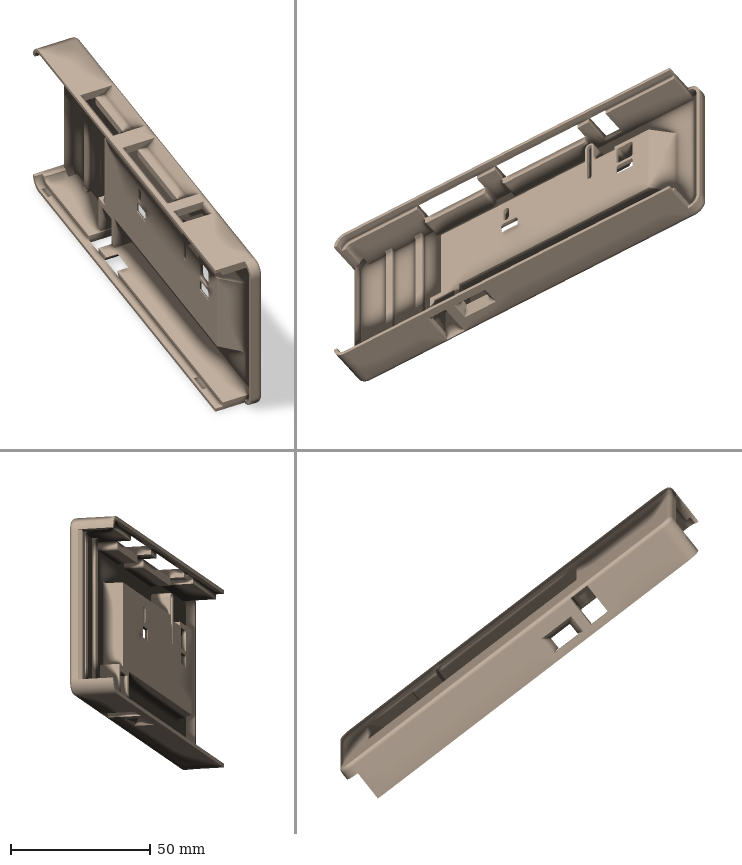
import cadquery as cq
import math

length = 150.8
depth = 16.5
height = 64.8
corner_radius = 5.0
back_fillet = 1.5

floor_thickness = 1.2
rim_width = 1.4
rim_height = 4.7
wall_thickness = 3.2
lip_thickness = 1.4
lip_length = 3.0

floor_y = depth - floor_thickness
rim_y = depth - rim_height
wall_end_x = length - corner_radius
wall_top_z = height - wall_thickness

snap_starts = (3.0, 126.7)
snap_length = 7.1
snap_front_y = 0.8
snap_depth = 0.8

rib_edges = ((13.3, 16.0), (26.0, 29.1))
rib_height = 1.4
rib_gusset = 0.8

platform_left, platform_right = 41.2, 131.3
platform_bottom, platform_top = 16.9, 48.1
platform_height = 7.2
platform_y = floor_y - platform_height
platform_skin = 1.5
foot_radius = 1.0
notch_left, notch_right, notch_bottom = 107.8, 116.4, 46.6

channel_left, channel_right, channel_top = 36.3, 48.9, 17.3
channel_wall_x = 1.8
channel_wall_top = 2.3
channel_inner_left = channel_left + channel_wall_x
channel_inner_right = channel_right - channel_wall_x
channel_gap_inset = 0.6

slot_x = 105.5
slot_width = 2.0
slot_bottom, slot_top = 38.0, 55.6
slot_boss_wall = 0.9
slot_boss_width = slot_width + 2 * slot_boss_wall

mount_left_x, mount_right_x = 70.7, 120.8
mount_width = 7.1
mount_low_bottom, mount_low_top = 33.0, 37.2
mount_high_bottom, mount_high_top = 38.6, 46.3
mount_radius = 1.0
mount_edge_thickness = 0.3
mount_relief_margin = 1.5
key_x = 69.4
key_width = 2.4
key_top = 44.6

wide_openings = ((34.1, 60.2), (67.9, 103.8))
narrow_opening = (108.6, 116.0)
opening_front_y = 1.8
opening_back_y = depth - back_fillet
narrow_back_radius = 1.4
tray_bottom = 58.7
tray_radius = 1.0

window_left, window_right = 52.6, 61.2
window_back_y = 7.5
window_flare = 2.4


def box(x0, x1, y0, y1, z0, z1):
    return cq.Workplane("XY").box(x1 - x0, y1 - y0, z1 - z0, centered=False).translate((x0, y0, z0))


def rounded_slab(inset, y0, y1):
    """Rounded rectangle, inset from the outer outline, between two depths."""
    slab = box(inset, length - inset, y0, y1, inset, height - inset)
    return slab.edges("|Y").fillet(corner_radius - inset)


def side_prism(points, x0, x1):
    """Prism along X with its outline given as (y, z) points."""
    return cq.Workplane("YZ").polyline(points).close().extrude(x1 - x0).translate((x0, 0, 0))


def front_prism(outline, y0, y1):
    """Prism along Y from a closed outline drawn in X and Z."""
    return outline.extrude(-(y1 - y0)).translate((0, y0, 0))


def front_slot(x, z0, z1, width, y0, y1):
    """Vertical round-ended prism along Y."""
    slot = cq.Workplane("XZ").center(x, (z0 + z1) / 2).slot2D(z1 - z0, width, 90)
    return front_prism(slot, y0, y1)


def mirrored_in_z(body):
    return body.mirror("XY", (0, 0, height / 2))


def make_shell():
    shell = rounded_slab(0, 0, depth).faces(">Y").edges().fillet(back_fillet)
    shell = shell.cut(rounded_slab(wall_thickness, 0, rim_y))
    shell = shell.cut(rounded_slab(rim_width, rim_y, floor_y))
    shell = shell.cut(rounded_slab(lip_thickness, 0, lip_length))
    for z in (rim_width, wall_top_z):
        layer_height = wall_thickness - rim_width
        shell = shell.union(box(corner_radius, wall_end_x, rim_y, floor_y, z, z + layer_height))
    shell = shell.cut(box(wall_end_x, length, 0, rim_y, 0, height))
    shell = shell.cut(box(0, corner_radius, 0, rim_y, corner_radius, height - corner_radius))
    crest = cq.Workplane("XY").polyline([(0, rim_y), (rim_width, rim_y), (0, rim_y + rim_width)]).close()
    return shell.cut(crest.extrude(height - 2 * corner_radius).translate((0, 0, corner_radius)))


def make_snap_notch(x0):
    """V-shaped notch in the inner face of the bottom lip."""
    points = [
        (snap_front_y, lip_thickness),
        (lip_length, lip_thickness),
        ((snap_front_y + lip_length) / 2, lip_thickness - snap_depth),
    ]
    return side_prism(points, x0, x0 + snap_length)


def make_rib(x0, x1):
    rib_y = floor_y - rib_height
    rib = box(x0, x1, rib_y, floor_y, wall_thickness, wall_top_z)
    gusset = side_prism(
        [
            (rib_y, wall_thickness),
            (rib_y - rib_gusset, wall_thickness),
            (rib_y, wall_thickness + rib_gusset),
        ],
        x0,
        x1,
    )
    return rib.union(gusset).union(mirrored_in_z(gusset))


def platform_body(inset, y_back):
    """Platform with a 45 degree ramp at its right end; an inset moves every face inward alike."""
    y_front = platform_y + inset
    left = platform_left + inset
    right = platform_right - inset * (math.sqrt(2) - 1)
    outline = cq.Workplane("XY").polyline(
        [
            (left, y_front),
            (right, y_front),
            (right + y_back - y_front, y_back),
            (left, y_back),
        ]
    )
    body = outline.close().extrude(platform_top - platform_bottom - 2 * inset)
    return body.translate((0, 0, platform_bottom + inset))


def make_platform():
    """Platform on a strip of floor, with round feet along its left, top and bottom sides."""
    ramp_foot_x = platform_right + platform_height
    margin = 2 * foot_radius
    base = box(
        platform_left - margin,
        ramp_foot_x + margin,
        floor_y,
        depth,
        platform_bottom - margin,
        platform_top + margin,
    )
    platform = base.union(platform_body(0, floor_y))
    feet = platform.edges(
        cq.selectors.BoxSelector(
            (platform_left - foot_radius, floor_y - foot_radius, platform_bottom - foot_radius),
            (ramp_foot_x - foot_radius, floor_y + foot_radius, platform_top + foot_radius),
        )
    )
    return feet.fillet(foot_radius)


def make_tray(x0, x1):
    """Ledge below a wide opening, with round lower corners and flared upper ones."""
    r = tray_radius
    z0, z1 = tray_bottom, wall_top_z
    outline = (
        cq.Workplane("XZ")
        .moveTo(x0 - r, z1)
        .radiusArc((x0, z1 - r), r)
        .lineTo(x0, z0 + r)
        .radiusArc((x0 + r, z0), -r)
        .lineTo(x1 - r, z0)
        .radiusArc((x1, z0 + r), -r)
        .lineTo(x1, z1 - r)
        .radiusArc((x1 + r, z1), r)
        .close()
    )
    return front_prism(outline, platform_y, floor_y)


def opening_front_outline():
    """Front side of an opening in the top wall: it slopes through the lip, then runs straight down."""
    return (
        cq.Workplane("YZ")
        .moveTo(lip_length, wall_top_z)
        .lineTo(lip_length, height - lip_thickness)
        .lineTo(opening_front_y, height)
        .lineTo(opening_back_y, height)
    )


def make_wide_opening(x0, x1):
    """Opening whose back side is one slope down to the tray."""
    outline = opening_front_outline().lineTo(rim_y, wall_top_z).close()
    return outline.extrude(x1 - x0).translate((x0, 0, 0))


def make_narrow_opening(x0, x1):
    """Opening whose back side is rounded over at the top."""
    r = narrow_back_radius
    outline = (
        opening_front_outline()
        .radiusArc((opening_back_y - r, height - r), -r)
        .lineTo(opening_back_y - r, wall_top_z)
        .close()
    )
    return outline.extrude(x1 - x0).translate((x0, 0, 0))


def make_mount_hole(x, z0, z1, rounded_edges):
    hole = box(x - mount_width / 2, x + mount_width / 2, 0, depth, z0, z1)
    return hole.edges(rounded_edges).fillet(mount_radius)


def make_mount_relief(x):
    """Relief that thins the skin behind the side and bottom edges of a lower mounting hole."""
    half_width = mount_width / 2 + mount_relief_margin
    return box(
        x - half_width,
        x + half_width,
        platform_y + mount_edge_thickness,
        depth,
        mount_low_bottom - mount_relief_margin,
        mount_low_top,
    )


def make_bottom_window():
    """Window that widens downward and backward through the bottom wall."""

    def section(flare):
        return [
            (window_left - flare, lip_length),
            (window_right + flare, lip_length),
            (window_right + flare, window_back_y + flare),
            (window_left - flare, window_back_y + flare),
        ]

    window = cq.Workplane("XY").polyline(section(window_flare)).close()
    return window.workplane(offset=wall_thickness).polyline(section(0)).close().loft(combine=True)


part = make_shell()
for rib_left, rib_right in rib_edges:
    part = part.union(make_rib(rib_left, rib_right))
for opening in wide_openings:
    part = part.union(make_tray(*opening))

part = part.union(make_platform())
part = part.cut(box(notch_left, notch_right, platform_y, floor_y, notch_bottom, platform_top + foot_radius))
part = part.union(box(channel_left, channel_right, platform_y, floor_y, wall_thickness, channel_top))
boss_end_z = slot_top + slot_boss_wall
part = part.union(front_slot(slot_x, notch_bottom, boss_end_z, slot_boss_width, platform_y, floor_y))

hollow = platform_body(platform_skin, depth)
notch_wall = box(
    notch_left - platform_skin,
    notch_right + platform_skin,
    platform_y,
    depth,
    notch_bottom - platform_skin,
    platform_top,
)
part = part.cut(hollow.cut(notch_wall))

channel_inner_top = channel_top - channel_wall_top
part = part.cut(
    box(channel_inner_left, channel_inner_right, platform_y, floor_y, wall_thickness, channel_inner_top)
)
gap_left = channel_inner_left + channel_gap_inset
gap_right = channel_inner_right - channel_gap_inset
part = part.cut(box(gap_left, gap_right, lip_length, floor_y, 0, wall_thickness))

for opening in wide_openings:
    part = part.cut(make_wide_opening(*opening))
part = part.cut(make_narrow_opening(*narrow_opening))
part = part.cut(make_bottom_window())
for snap_start in snap_starts:
    part = part.cut(make_snap_notch(snap_start))

part = part.cut(front_slot(slot_x, slot_bottom, slot_top, slot_width, 0, depth))
part = part.cut(front_slot(key_x, mount_high_bottom, key_top, key_width, 0, depth))
for mount_x in (mount_left_x, mount_right_x):
    part = part.cut(make_mount_hole(mount_x, mount_low_bottom, mount_low_top, "|Y and >Z"))
    part = part.cut(make_mount_relief(mount_x))
part = part.cut(make_mount_hole(mount_right_x, mount_high_bottom, mount_high_top, "|Y"))

result = part